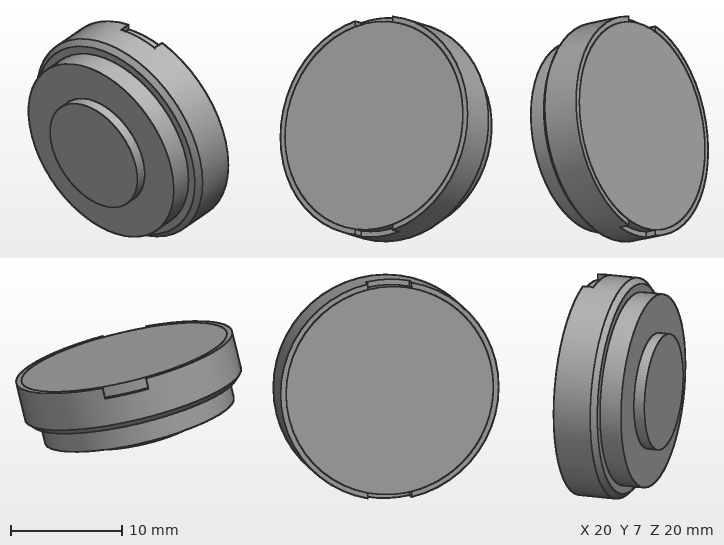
import cadquery as cq

RING_DIAMETER = 20.0
RING_LENGTH = 4.0
RING_CHAMFER = 0.5
LIP_LENGTH = 1.0

FLANGE_DIAMETER = 19.0
FLANGE_LENGTH = RING_LENGTH - LIP_LENGTH
SHOULDER_DIAMETER = 17.5
SHOULDER_PROTRUSION = 2.0
BOSS_DIAMETER = 10.5
BOSS_PROTRUSION = 1.0

NOTCH_WIDTH = 4.0
NOTCH_DEPTH = 1.0

SHOULDER_FRONT = RING_LENGTH + SHOULDER_PROTRUSION
BOSS_FRONT = SHOULDER_FRONT + BOSS_PROTRUSION


def cylinder(diameter, length):
    """Cylinder on the common axis, running forward from the rear face."""
    return cq.Workplane("XZ").circle(diameter / 2).extrude(length)


def make_ring():
    """Chamfered ring with a front lip and two opposite notches in its rear edge."""
    body = cylinder(RING_DIAMETER, RING_LENGTH).faces("<Y").chamfer(RING_CHAMFER)
    flange_seat = cylinder(FLANGE_DIAMETER, FLANGE_LENGTH)
    lip_bore = cylinder(SHOULDER_DIAMETER, RING_LENGTH)
    slot = cq.Workplane("XZ").rect(NOTCH_WIDTH, RING_DIAMETER).extrude(NOTCH_DEPTH)
    return body.cut(flange_seat).cut(lip_bore).cut(slot)


def make_plug():
    """Stepped plug: a flange held behind the lip, a shoulder and a front boss."""
    flange = cylinder(FLANGE_DIAMETER, FLANGE_LENGTH)
    shoulder = cylinder(SHOULDER_DIAMETER, SHOULDER_FRONT)
    boss = cylinder(BOSS_DIAMETER, BOSS_FRONT)
    return flange.union(shoulder).union(boss)


ring = make_ring()
plug = make_plug()

result = cq.Compound.makeCompound([ring.val(), plug.val()])